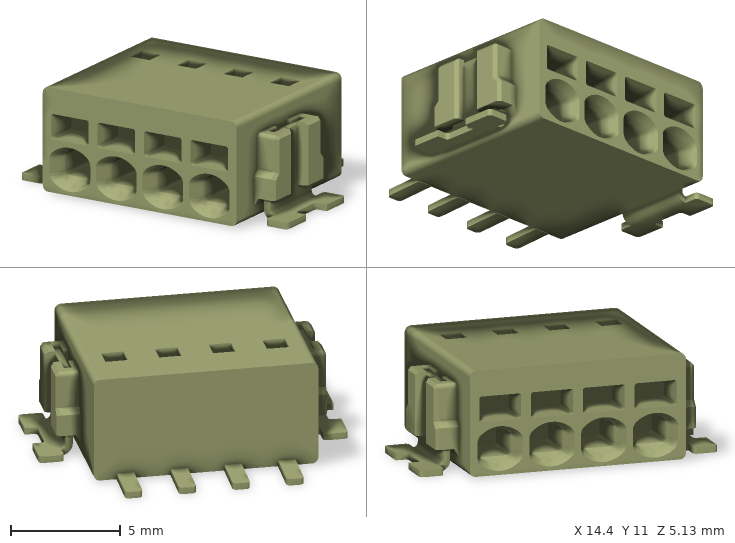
import cadquery as cq
import math


total_width = 14.4

block_width = 10.45
block_depth = 9.0
block_bottom = 0.13
block_top = 5.13
block_edge_radius = 0.29
wall_x = block_width / 2

pole_count = 4
pole_pitch = 2.5
pole_positions = [(i - (pole_count - 1) / 2) * pole_pitch for i in range(pole_count)]

window_width = 1.04
window_length = 1.0
window_depth = 0.48
window_center_y = 6.5

slot_width = 2.02
slot_bottom = 2.68
slot_top = 3.89
slot_ceiling_drop = 0.26
slot_depth = 1.73
slot_corner_radius = 0.12

mouth_half_width = 1.1
mouth_bottom = 0.32
mouth_top = 2.42
mouth_arc_radius = 1.4
mouth_corner_radius = 0.46
bore_half_width = 0.8
bore_bottom = 0.8
bore_top = 2.13
bore_arc_radius = 1.11
bore_corner_radius = 0.15
funnel_depth = 0.86
wire_entry_depth = 2.88

tail_width = 0.8
tail_thickness = 0.32
tail_length = 2.0
tail_root = 0.06
tail_drop = 0.1
tail_corner_radius = 0.19

sheet_thickness = 0.32
sheet_outer_x = 5.82
sheet_inner_x = sheet_outer_x - sheet_thickness
bend_inner_radius = 0.22
bend_outer_radius = bend_inner_radius + sheet_thickness
bend_x = sheet_outer_x + bend_inner_radius
web_width = 3.59
web_top = 0.94
neck_width = 2.56
neck_flare = 0.19
blade_width = 2.75
blade_top = 4.02
blade_top_chamfer = 0.29
foot_width = 5.0
foot_corner_radius = 0.19
foot_notch_width = 1.77
foot_notch_depth = 0.59
anchor_y = 3.72

holder_outer_x = 6.3
holder_top = 4.15
holder_bottom = 1.12
holder_top_width = 3.85
holder_base_width = 4.38
holder_gap = 1.18
shoulder_top = 2.42
shoulder_bottom = 2.15
holder_top_radius = 0.22
holder_chamfer = 0.16
gusset_x = 5.43
gusset_bottom = 0.72
pocket_inner_x = 5.46
relief_width = 0.8
relief_x = 5.35
relief_depth = 0.29


def box(x0, x1, y0, y1, z0, z1):
    """Box between two opposite corners."""
    return cq.Workplane("XY").box(x1 - x0, y1 - y0, z1 - z0, centered=False).translate((x0, y0, z0))


def crown_corner(half_width, crown, arc_radius, corner_radius, direction):
    """Corner round that blends a crown arc into the flat side on the +X half.

    direction is +1 for a crown at the top and -1 for one at the bottom.
    Returns the arc end, corner middle and side end points.
    """
    arc_center = crown - direction * arc_radius
    corner_x = half_width - corner_radius
    rise = math.sqrt((arc_radius - corner_radius) ** 2 - corner_x ** 2)
    corner_z = arc_center + direction * rise
    blend_angle = math.atan2(rise, corner_x)
    return corner_points(corner_x, corner_z, corner_radius, blend_angle, direction)


def corner_points(corner_x, corner_z, radius, blend_angle, direction):
    """Start, middle and end of a corner round from its blend angle down to the vertical side."""
    return [
        (corner_x + radius * math.cos(a), corner_z + direction * radius * math.sin(a))
        for a in (blend_angle, blend_angle / 2, 0)
    ]


def mirrored(point):
    """Point reflected to the other side of the vertical centre line."""
    return (-point[0], point[1])


def add_upper_outline(sketch, corner, crown):
    """Continue an outline from the +X side over the top to the -X side."""
    arc_end, corner_middle, side_end = corner
    return (
        sketch.threePointArc(corner_middle, arc_end)
        .threePointArc((0, crown), mirrored(arc_end))
        .threePointArc(mirrored(corner_middle), mirrored(side_end))
    )


def mouth_outline():
    """Outer outline of a wire entry: flat sides, arched top and bottom."""
    plane = cq.Workplane("XZ")
    top = crown_corner(mouth_half_width, mouth_top, mouth_arc_radius, mouth_corner_radius, 1)
    bottom = crown_corner(mouth_half_width, mouth_bottom, mouth_arc_radius, mouth_corner_radius, -1)
    arc_end, corner_middle, side_end = bottom
    sketch = add_upper_outline(plane.moveTo(*side_end).lineTo(*top[2]), top, mouth_top)
    return (
        sketch.lineTo(*mirrored(side_end))
        .threePointArc(mirrored(corner_middle), mirrored(arc_end))
        .threePointArc((0, mouth_bottom), arc_end)
        .threePointArc(corner_middle, side_end)
        .close()
    )


def bore_outline():
    """Outline of the bore where the funnel ends: flat sides and floor, arched top."""
    plane = cq.Workplane("XZ", origin=(0, funnel_depth, 0))
    top = crown_corner(bore_half_width, bore_top, bore_arc_radius, bore_corner_radius, 1)
    arc_end, corner_middle, side_end = corner_points(
        bore_half_width - bore_corner_radius,
        bore_bottom + bore_corner_radius,
        bore_corner_radius,
        math.pi / 2,
        -1,
    )
    sketch = add_upper_outline(plane.moveTo(*side_end).lineTo(*top[2]), top, bore_top)
    return (
        sketch.lineTo(*mirrored(side_end))
        .threePointArc(mirrored(corner_middle), mirrored(arc_end))
        .lineTo(*arc_end)
        .threePointArc(corner_middle, side_end)
        .close()
    )


def make_wire_entry():
    """Cutter for one wire entry, centred on X = 0."""
    mouth = mouth_outline().wires().val()
    bore_end = bore_outline().wires().val()
    funnel = cq.Workplane(cq.Solid.makeLoft([mouth, bore_end], True))
    bore = bore_outline().extrude(funnel_depth - wire_entry_depth)
    return funnel.union(bore)


def make_release_slot():
    """Cutter for one release slot with a ceiling that slopes down inwards, centred on X = 0."""
    return (
        cq.Workplane("YZ", origin=(-slot_width / 2, 0, 0))
        .polyline([
            (0, slot_bottom),
            (slot_depth, slot_bottom),
            (slot_depth, slot_top - slot_ceiling_drop),
            (0, slot_top),
        ])
        .close()
        .extrude(slot_width)
        .edges("not(|X or |Z)")
        .fillet(slot_corner_radius)
    )


def make_window():
    """Cutter for one test window, centred on X = 0."""
    return box(
        -window_width / 2,
        window_width / 2,
        window_center_y - window_length / 2,
        window_center_y + window_length / 2,
        block_top - window_depth,
        block_top,
    )


def make_tail():
    """One contact tail, centred on X = 0."""
    root_y = block_depth - tail_root
    tip_y = block_depth + tail_length
    return (
        cq.Workplane("YZ", origin=(-tail_width / 2, 0, 0))
        .polyline([
            (root_y, tail_drop),
            (tip_y, 0),
            (tip_y, tail_thickness),
            (root_y, tail_drop + tail_thickness),
        ])
        .close()
        .extrude(tail_width)
        .edges(">Y and |Z")
        .fillet(tail_corner_radius)
    )


def make_holder_post(end):
    """One holder post on the +X wall; end is +1 for the rear post and -1 for the front one."""
    gap_y = anchor_y + end * holder_gap / 2
    top_y = anchor_y + end * holder_top_width / 2
    base_y = anchor_y + end * holder_base_width / 2
    post = (
        cq.Workplane("YZ", origin=(wall_x, 0, 0))
        .polyline([
            (gap_y, holder_bottom),
            (base_y, holder_bottom),
            (base_y, shoulder_bottom),
            (top_y, shoulder_top),
            (top_y, holder_top),
            (gap_y, holder_top),
        ])
        .close()
        .extrude(holder_outer_x - wall_x)
    )
    outer_top_edge = cq.selectors.NearestToPointSelector(((wall_x + holder_outer_x) / 2, top_y, holder_top))
    post = post.edges(outer_top_edge).fillet(holder_top_radius)
    return post.faces(">X").edges("not(<Z)").chamfer(holder_chamfer)


def make_holder():
    """Pair of posts on the +X wall, joined behind the anchor and pocketed for its blade."""
    bridge = box(
        wall_x,
        pocket_inner_x,
        anchor_y - holder_gap / 2,
        anchor_y + holder_gap / 2,
        holder_bottom,
        shoulder_bottom,
    )
    gusset = (
        cq.Workplane("XZ", origin=(0, anchor_y + holder_base_width / 2, 0))
        .polyline([(wall_x, gusset_bottom), (gusset_x, holder_bottom), (wall_x, holder_bottom)])
        .close()
        .extrude(holder_base_width)
    )
    pocket = box(
        pocket_inner_x,
        sheet_outer_x,
        anchor_y - blade_width / 2,
        anchor_y + blade_width / 2,
        holder_bottom,
        holder_top,
    )
    relief = box(
        relief_x,
        pocket_inner_x,
        anchor_y - relief_width / 2,
        anchor_y + relief_width / 2,
        shoulder_bottom - relief_depth,
        shoulder_bottom,
    )
    holder = make_holder_post(1).union(make_holder_post(-1)).union(bridge).union(gusset)
    return holder.cut(pocket).cut(relief)


def make_housing():
    """Block with its openings, contact tails and both anchor holders."""
    block = (
        box(-wall_x, wall_x, 0, block_depth, block_bottom, block_top)
        .edges("|Y")
        .fillet(block_edge_radius)
    )
    wire_entry = make_wire_entry()
    release_slot = make_release_slot()
    window = make_window()
    tail = make_tail()
    for x in pole_positions:
        for cutter in (wire_entry, release_slot, window):
            block = block.cut(cutter.translate((x, 0, 0)))
        block = block.union(tail.translate((x, 0, 0)))

    holder = make_holder()
    return block.union(holder).union(holder.mirror("YZ"))


def make_anchor():
    """Anchor on the +X side: upright blade, bend and notched solder foot."""
    half_outline = [
        (web_width / 2, bend_outer_radius),
        (web_width / 2, web_top),
        (neck_width / 2 + neck_flare / 2, web_top),
        (neck_width / 2, holder_bottom),
        (blade_width / 2, holder_bottom + neck_flare),
        (blade_width / 2, blade_top - blade_top_chamfer),
        (blade_width / 2 - blade_top_chamfer, blade_top),
    ]
    outline = half_outline + [mirrored(point) for point in reversed(half_outline)]
    blade = (
        cq.Workplane("YZ", origin=(sheet_inner_x, anchor_y, 0))
        .polyline(outline)
        .close()
        .extrude(sheet_thickness)
    )

    outer_middle = -bend_outer_radius * math.sqrt(0.5)
    inner_middle = -bend_inner_radius * math.sqrt(0.5)
    bend = (
        cq.Workplane("XZ", origin=(bend_x, anchor_y + web_width / 2, bend_outer_radius))
        .moveTo(-bend_outer_radius, 0)
        .threePointArc((outer_middle, outer_middle), (0, -bend_outer_radius))
        .lineTo(0, -bend_inner_radius)
        .threePointArc((inner_middle, inner_middle), (-bend_inner_radius, 0))
        .close()
        .extrude(web_width)
    )

    foot_end = total_width / 2
    notch = box(
        foot_end - foot_notch_depth,
        foot_end,
        anchor_y - foot_notch_width / 2,
        anchor_y + foot_notch_width / 2,
        0,
        sheet_thickness,
    ).edges("|Z and <X").fillet(foot_corner_radius)
    foot = (
        box(bend_x, foot_end, anchor_y - foot_width / 2, anchor_y + foot_width / 2, 0, sheet_thickness)
        .edges("|Z")
        .fillet(foot_corner_radius)
        .cut(notch)
    )
    return blade.union(bend).union(foot)


housing = make_housing()
right_anchor = make_anchor()
anchors = [right_anchor, right_anchor.mirror("YZ")]

result = cq.Compound.makeCompound([housing.solids().val(), *[anchor.solids().val() for anchor in anchors]])